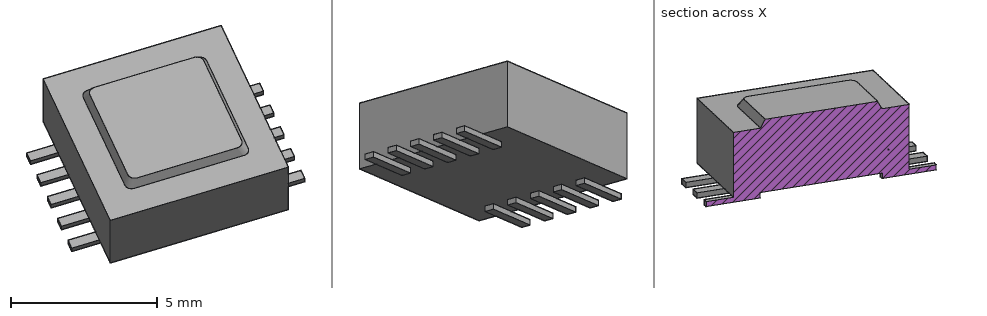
import cadquery as cq
import math

body_side = 6.5
body_height = 2.4

lead_width = 0.37
lead_length = 2.0
lead_thickness = 0.2
lead_pitch = 1.0
leads_per_row = 5
span_over_leads = 8.5

lid_base_side = 4.5
lid_height = 0.3
lid_corner_radius = 0.3
lid_wall_angle = 30.0

body_top = lead_thickness + body_height
lid_inset = lid_height * math.tan(math.radians(lid_wall_angle))


def make_body():
    return (
        cq.Workplane("XY")
        .workplane(offset=lead_thickness)
        .rect(body_side, body_side)
        .extrude(body_height)
    )


def make_lid():
    """Square frustum with its four slanted corner edges rounded."""
    top_side = lid_base_side - 2 * lid_inset
    return (
        cq.Workplane("XY")
        .workplane(offset=body_top)
        .rect(lid_base_side, lid_base_side)
        .workplane(offset=lid_height)
        .rect(top_side, top_side)
        .loft()
        .edges("not #Z")
        .fillet(lid_corner_radius)
    )


def make_leads():
    row_y = (span_over_leads - lead_length) / 2
    first_x = -lead_pitch * (leads_per_row - 1) / 2
    positions = [
        (first_x + i * lead_pitch, side * row_y)
        for side in (-1, 1)
        for i in range(leads_per_row)
    ]
    return (
        cq.Workplane("XY")
        .pushPoints(positions)
        .rect(lead_width, lead_length)
        .extrude(lead_thickness)
    )


result = make_body().union(make_lid()).union(make_leads())